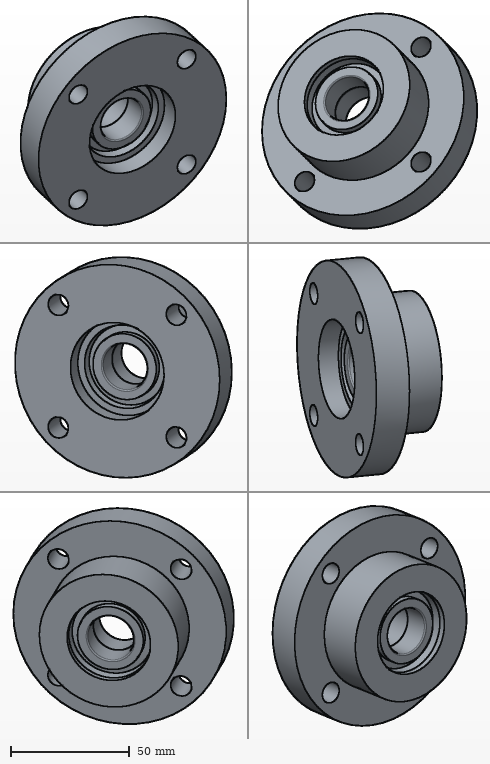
import cadquery as cq

overall_length = 36.0
flange_diameter = 92.0
flange_thickness = 15.0
hub_diameter = 60.0

mounting_hole_count = 4
mounting_hole_diameter = 9.0
mounting_circle_diameter = 75.0
first_hole_angle = 45

lip_thickness = 3.0
lip_opening_diameter = 36.0

bearing_outer_diameter = 42.0
bearing_bore_diameter = 20.0
bearing_width = 12.0
outer_fillet_radius = 0.6
inner_fillet_radius = 0.3

recess_inner_diameter = 28.4
recess_mouth_diameter = lip_opening_diameter
recess_floor_diameter = 34.8
recess_depth = 4.0
recess_floor_rise = 0.4

bearing_contact = lip_thickness + bearing_width


def disc(diameter, start, length):
    """A cylinder on the X axis that runs from X = start toward +X."""
    return cq.Workplane("YZ", origin=(start, 0, 0)).circle(diameter / 2).extrude(length)


def make_housing():
    hub = disc(hub_diameter, 0, overall_length)
    flange = disc(flange_diameter, overall_length - flange_thickness, flange_thickness)
    lip_opening = disc(lip_opening_diameter, 0, lip_thickness)
    seat = disc(bearing_outer_diameter, lip_thickness, overall_length - lip_thickness)
    mounting_holes = (
        cq.Workplane("YZ")
        .polarArray(mounting_circle_diameter / 2, first_hole_angle, 360, mounting_hole_count)
        .circle(mounting_hole_diameter / 2)
        .extrude(overall_length)
    )
    return hub.union(flange).cut(lip_opening).cut(seat).cut(mounting_holes)


def make_bearing():
    """One bearing, with its recessed face against the housing lip."""
    bore_radius = bearing_bore_diameter / 2
    outer_radius = bearing_outer_diameter / 2
    profile = (
        cq.Workplane("XY", origin=(lip_thickness, 0, 0))
        .moveTo(0, bore_radius + outer_fillet_radius)
        .lineTo(0, recess_inner_diameter / 2)
        .lineTo(recess_depth - recess_floor_rise, recess_inner_diameter / 2)
        .lineTo(recess_depth, recess_floor_diameter / 2)
        .lineTo(0, recess_mouth_diameter / 2)
        .lineTo(0, outer_radius)
        .lineTo(bearing_width, outer_radius)
        .lineTo(bearing_width, bore_radius + inner_fillet_radius)
        .radiusArc((bearing_width - inner_fillet_radius, bore_radius), inner_fillet_radius)
        .lineTo(outer_fillet_radius, bore_radius)
        .radiusArc((0, bore_radius + outer_fillet_radius), outer_fillet_radius)
        .close()
    )
    return profile.revolve(360, (0, 0, 0), (1, 0, 0))


housing = make_housing()

bearings = []
for turned_around in (False, True):
    bearing = make_bearing()
    if turned_around:
        bearing = bearing.mirror("YZ", (bearing_contact, 0, 0))
    bearings.append(bearing.val())

result = cq.Compound.makeCompound([housing.val(), *bearings])